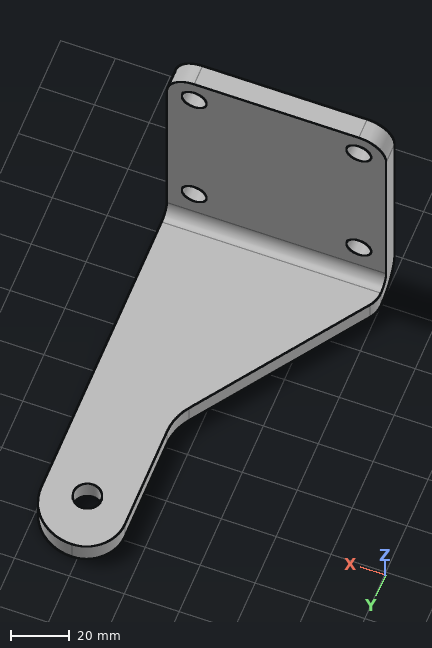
import cadquery as cq
import math

width = 80.0
depth = 145.0
height = 94.0
thickness = 8.0
inner_bend_radius = 5.0
outer_bend_radius = inner_bend_radius + thickness

plate_corner_radius = 10.0
plate_hole_diameter = 9.0
plate_hole_inset = 10.0
plate_hole_spacing = width - 2 * plate_hole_inset

arm_width = 32.0
arm_left_end_radius = 14.0
arm_right_end_radius = arm_width - arm_left_end_radius
arm_hole_diameter = 10.0
arm_hole_from_end = 20.0
taper_angle = 35.0
taper_toe_radius = 10.0
taper_neck_radius = 20.0

left = -width / 2
right = width / 2
arm_left = right - arm_width
half_taper_tangent = math.tan(math.radians(taper_angle / 2))
toe_corner_y = outer_bend_radius + taper_toe_radius * half_taper_tangent
neck_corner_y = toe_corner_y + (arm_left - left) / math.tan(math.radians(taper_angle))


def bent_strip():
    """L-shaped sheet with a rounded bend, full width along X."""
    profile = (
        cq.Workplane("YZ")
        .moveTo(0, height)
        .lineTo(0, outer_bend_radius)
        .radiusArc((outer_bend_radius, 0), -outer_bend_radius)
        .lineTo(depth, 0)
        .lineTo(depth, thickness)
        .lineTo(outer_bend_radius, thickness)
        .radiusArc((thickness, outer_bend_radius), inner_bend_radius)
        .lineTo(thickness, height)
        .close()
    )
    return profile.extrude(width / 2, both=True)


def round_vertical_edge(body, x, y, radius):
    """Fillet the vertical edge that passes through (x, y)."""
    edge = body.edges("|Z").edges(cq.selectors.NearestToPointSelector((x, y, height / 2)))
    return edge.fillet(radius)


def plan_prism():
    """Upright prism with the plan outline of the whole bracket."""
    prism = (
        cq.Workplane("XY")
        .moveTo(left, 0)
        .lineTo(right, 0)
        .lineTo(right, depth - arm_right_end_radius)
        .radiusArc((arm_left + arm_left_end_radius, depth), -arm_right_end_radius)
        .radiusArc((arm_left, depth - arm_left_end_radius), -arm_left_end_radius)
        .lineTo(arm_left, neck_corner_y)
        .lineTo(left, toe_corner_y)
        .close()
        .extrude(height)
    )
    prism = round_vertical_edge(prism, left, toe_corner_y, taper_toe_radius)
    return round_vertical_edge(prism, arm_left, neck_corner_y, taper_neck_radius)


def plate_holes():
    """Four mounting holes through the upright plate."""
    centre_z = height - plate_hole_inset - plate_hole_spacing / 2
    return (
        cq.Workplane("XZ", origin=(0, 0, centre_z))
        .rarray(plate_hole_spacing, plate_hole_spacing, 2, 2)
        .circle(plate_hole_diameter / 2)
        .extrude(-thickness)
    )


def arm_hole():
    """Single hole near the free end of the arm, centred on its width."""
    return (
        cq.Workplane("XY")
        .center(right - arm_width / 2, depth - arm_hole_from_end)
        .circle(arm_hole_diameter / 2)
        .extrude(thickness)
    )


bracket = bent_strip().intersect(plan_prism())
bracket = bracket.edges("|Y and >Z").fillet(plate_corner_radius)
result = bracket.cut(plate_holes()).cut(arm_hole())